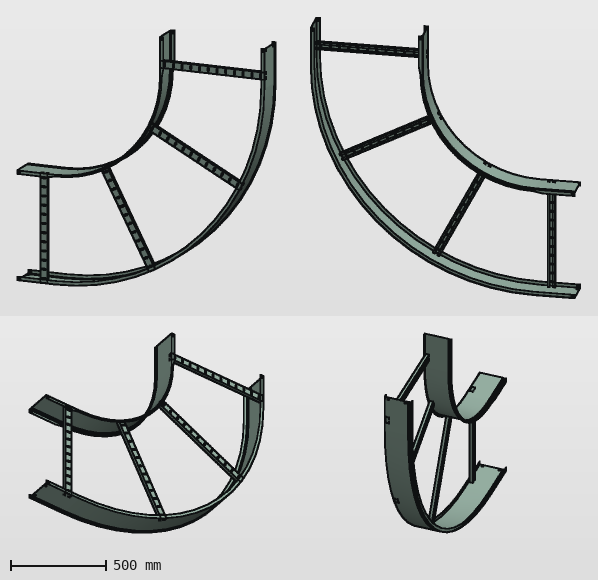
import cadquery as cq
import math

inner_radius = 600.0
rail_spacing = 600.0
outer_radius = inner_radius + rail_spacing
leg_length = 217.0
inner_leg_extra = 0.6

rail_height = 150.0
flange_width = 20.0
rail_sheet = 1.5
rail_front = -rail_height / 2
rail_rear = rail_height / 2

groove_depth = 2.5
groove_rear_edge = rail_rear - 5.0
groove_width = 14.0
groove_front_edge = groove_rear_edge - groove_width
groove_slope = 5.0

bend_flange_width = 11.0
flange_taper_length = 45.0

end_hole_distance = 12.0
flange_hole_diameter = 11.0
flange_hole_web_distance = flange_width / 2
web_hole_diameter = 9.0
web_hole_front = rail_front + 20.0
web_hole_rear = rail_rear - 34.0

rung_setback = 5.0
rung_width = 40.0
rung_depth = 20.0
rung_lip = 12.0
rung_sheet = 1.5
rung_front = rail_front + rung_setback
rung_clear_length = rail_spacing - 2 * rail_sheet

slot_count = 12
slot_pitch = 50.0
slot_length = 20.0
slot_width = 7.0

leg_rung_end_distance = 150.0
leg_rung_offset = leg_length - leg_rung_end_distance
bend_rung_angle = 27.5


def rail_path(radius, start_leg):
    """Lower leg along +X, quarter bend about the Y axis, then upper leg along +Z."""
    middle = radius * math.sqrt(0.5)
    return (
        cq.Workplane("XZ")
        .moveTo(-start_leg, -radius)
        .lineTo(0, -radius)
        .threePointArc((middle, -middle), (radius, 0))
        .lineTo(radius, leg_length)
    )


def make_rail(radius, side, start_leg):
    """Channel with its web back on `radius`.

    The flanges point towards the bend centre for side 1 and away from it for side -1.
    """
    groove = [
        (groove_rear_edge, 0),
        (groove_rear_edge - groove_slope, groove_depth),
        (groove_front_edge + groove_slope, groove_depth),
        (groove_front_edge, 0),
    ]
    back = [
        (rail_front, flange_width),
        (rail_front, 0),
        *reversed(groove),
        (rail_rear, 0),
        (rail_rear, flange_width),
    ]
    inside = [
        (rail_rear - rail_sheet, flange_width),
        (rail_rear - rail_sheet, rail_sheet),
        *[(y, depth + rail_sheet) for y, depth in groove],
        (rail_front + rail_sheet, rail_sheet),
        (rail_front + rail_sheet, flange_width),
    ]
    section = [(y, side * depth) for y, depth in back + inside]
    profile = cq.Workplane("YZ", origin=(-start_leg, 0, -radius)).polyline(section).close()
    rail = profile.sweep(rail_path(radius, start_leg))

    hole_radius = radius - side * flange_hole_web_distance
    hole_centres = [
        (-start_leg + end_hole_distance, -hole_radius),
        (hole_radius, leg_length - end_hole_distance),
    ]
    holes = (
        cq.Workplane("XZ", origin=(0, rail_rear, 0))
        .pushPoints(hole_centres)
        .circle(flange_hole_diameter / 2)
        .extrude(rail_height)
    )
    return rail.cut(holes)


def bend_flange_trim():
    """Block that takes the flange tips of the inner rail back along the bend."""
    tip = inner_radius + flange_width
    narrow_tip = inner_radius + bend_flange_width
    middle = narrow_tip * math.sqrt(0.5)
    return (
        cq.Workplane("XZ", origin=(0, rail_rear, 0))
        .moveTo(-flange_taper_length, -tip)
        .lineTo(0, -narrow_tip)
        .threePointArc((middle, -middle), (narrow_tip, 0))
        .lineTo(tip, flange_taper_length)
        .lineTo(tip, -tip)
        .close()
        .extrude(rail_height)
    )


def outer_web_holes():
    """Drills through the outer rail web at both of its ends."""
    end_hole_place = leg_length - end_hole_distance
    lower = (
        cq.Workplane("XY", origin=(0, 0, -outer_radius))
        .pushPoints([(-end_hole_place, y) for y in (web_hole_front, web_hole_rear)])
        .circle(web_hole_diameter / 2)
        .extrude(rail_sheet)
    )
    upper = (
        cq.Workplane("YZ", origin=(outer_radius - rail_sheet, 0, 0))
        .pushPoints([(y, end_hole_place) for y in (web_hole_front, web_hole_rear)])
        .circle(web_hole_diameter / 2)
        .extrude(rail_sheet)
    )
    return [lower, upper]


def make_rung():
    """Lipped channel along +X, its slotted face towards -Y and its open side towards +Y."""
    start = inner_radius + rail_sheet
    centre = inner_radius + rail_spacing / 2
    inside_depth = rung_depth - 2 * rung_sheet
    inside_width = rung_width - 2 * rung_sheet
    mouth_width = rung_width - 2 * rung_lip
    tube = (
        cq.Workplane("YZ", origin=(start, rung_front + rung_depth / 2, 0))
        .rect(rung_depth, rung_width)
        .rect(inside_depth, inside_width)
        .extrude(rung_clear_length)
    )
    mouth = (
        cq.Workplane("YZ", origin=(start, rung_front + rung_depth - rung_sheet / 2, 0))
        .rect(rung_sheet, mouth_width)
        .extrude(rung_clear_length)
    )
    slots = (
        cq.Workplane("XZ", origin=(centre, rung_front + rung_sheet, 0))
        .rarray(slot_pitch, 1, slot_count, 1)
        .slot2D(slot_length, slot_width, 90)
        .extrude(rung_sheet)
    )
    return tube.cut(mouth).cut(slots)


def outer_bend_space():
    """Cylinder inside the web of the outer bend, which rounds the outer ends of the bend rungs."""
    return (
        cq.Workplane("XZ", origin=(0, rail_rear, 0))
        .circle(outer_radius - rail_sheet)
        .extrude(rail_height)
    )


inner_rail = make_rail(inner_radius, -1, leg_length + inner_leg_extra).cut(bend_flange_trim())
outer_rail = make_rail(outer_radius, 1, leg_length)
for web_holes in outer_web_holes():
    outer_rail = outer_rail.cut(web_holes)

straight_rung = make_rung()
bend_rung = straight_rung.intersect(outer_bend_space())
rungs = [straight_rung.translate((0, 0, leg_rung_offset))]
for angle in (bend_rung_angle, 90 - bend_rung_angle):
    rungs.append(bend_rung.rotate((0, 0, 0), (0, 1, 0), angle))
rungs.append(straight_rung.rotate((0, 0, 0), (0, 1, 0), 90).translate((-leg_rung_offset, 0, 0)))

bodies = [inner_rail, outer_rail, *rungs]
result = cq.Compound.makeCompound([body.solids().val() for body in bodies])